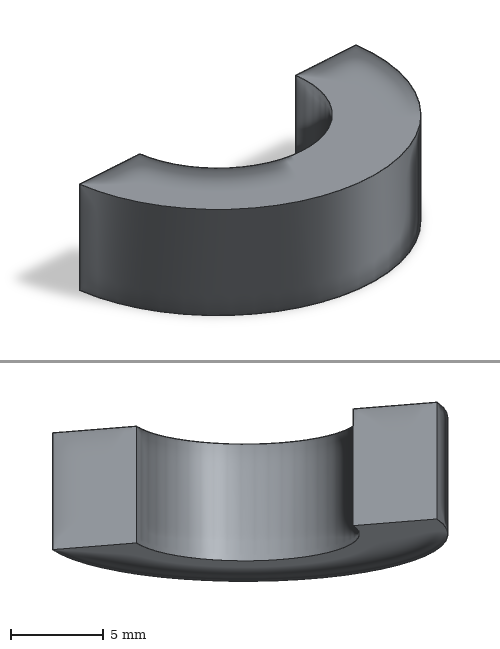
import cadquery as cq

outer_radius = 11.0
inner_radius = 6.2
height = 6.5


def half_ring():
    """Half of a flat ring, on the +X side of its axis, standing on Z = 0."""
    return (
        cq.Workplane("XY")
        .moveTo(0, -outer_radius)
        .threePointArc((outer_radius, 0), (0, outer_radius))
        .lineTo(0, inner_radius)
        .threePointArc((inner_radius, 0), (0, -inner_radius))
        .close()
        .extrude(height)
    )


result = half_ring()